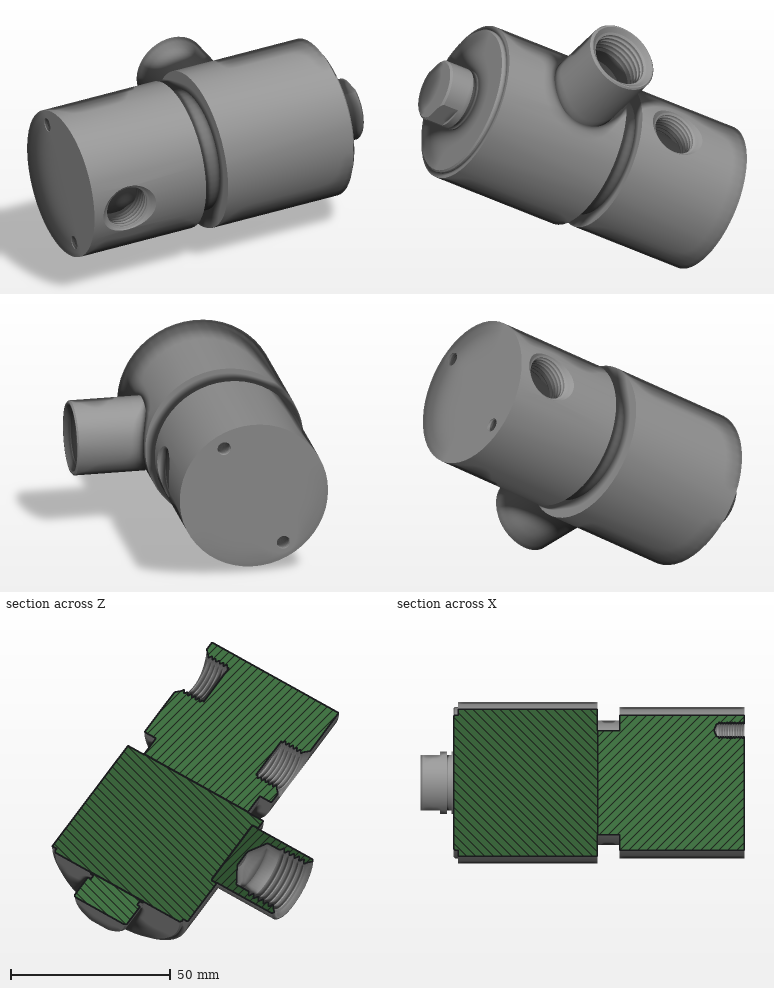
import cadquery as cq
import math

TOTAL_LENGTH = 101.7
DRILL_HALF_ANGLE = math.radians(59)
THREAD_HALF_ANGLE = math.radians(30)

BODY_RADIUS = 23.8
BODY_LENGTH = 39.2
NECK_RADIUS = 19.5
NECK_END = 46.1
CORE_RADIUS = 14.2

LEFT_PORT_Y = 25.9
RIGHT_PORT_Y = 12.4
PORT_MOUTH_RADIUS = 9.3
PORT_ENTRY_RADIUS = 7.6
PORT_MAJOR_RADIUS = 8.0
PORT_MINOR_RADIUS = 7.0
PORT_PITCH = 1.4
PORT_THREAD_TURNS = 7
PORT_DEPTH = 13.2

SCREW_CIRCLE_RADIUS = 19.0
SCREW_ANGLES = (120, 300)
SCREW_MAJOR_RADIUS = 2.6
SCREW_MINOR_RADIUS = 2.1
SCREW_PITCH = 0.8
SCREW_THREAD_TURNS = 10
SCREW_DEPTH = 8.6

HOUSING_RADIUS = 25.4
HOUSING_END = 90.0
LID_RADIUS = BODY_RADIUS
LID_END = 91.4
LID_CHAMFER = 0.5

HUB_Y = 61.2
HUB_DIAMETER = 23.7
HUB_RADIUS = HUB_DIAMETER / 2
HUB_OUTER_END = -46.4
HUB_SPIGOT_START = -27.3
HUB_INNER_END = -23.4
HUB_CHAMFER = 0.5
HUB_MOUTH_RADIUS = 11.0
HUB_ENTRY_RADIUS = 9.7
HUB_MAJOR_RADIUS = 10.3
HUB_MINOR_RADIUS = 9.0
HUB_PITCH = 1.8
HUB_THREAD_TURNS = 5
HUB_FLOOR_RADIUS = 3.0
HUB_BORE_DEPTH = HUB_SPIGOT_START - HUB_OUTER_END

NUT_RADIUS = 9.9
NUT_FLANGE_END = 91.9
NUT_GROOVE_RADIUS = 8.7
NUT_HEAD_START = 93.4
NUT_CHAMFER = 0.6
NUT_FLATS_START = 95.7
NUT_ACROSS_FLATS = 17.5


def disc(radius, start, end):
    """A cylinder on the Y axis from Y = start to Y = end."""
    return cq.Workplane("XZ", origin=(0, start, 0)).circle(radius).extrude(start - end)


def hub_cylinder(start, end):
    """A cylinder of the hub's radius on the hub axis from X = start to X = end."""
    return cq.Workplane("YZ", origin=(start, HUB_Y, 0)).circle(HUB_RADIUS).extrude(end - start)


def drill_point_length(start_radius, end_radius):
    """Axial length of a drill-point cone that narrows from one radius to another."""
    return (start_radius - end_radius) / math.tan(DRILL_HALF_ANGLE)


def threaded_hole(mouth_radius, entry_radius, major_radius, minor_radius, pitch, turns, depth, floor_radius):
    """A cutter along +Z from Z = 0.

    A 45 degree countersink runs from the mouth to the entry radius, followed by ring-shaped 60 degree
    V threads, a plain bore up to Z = depth and a drill-point cone that stops at the floor radius.
    """
    flank_length = (major_radius - minor_radius) * math.tan(THREAD_HALF_ANGLE)
    crest_length = pitch - 2 * flank_length
    countersink_end = mouth_radius - entry_radius
    thread_start = countersink_end + (entry_radius - minor_radius) * math.tan(THREAD_HALF_ANGLE)
    points = [(0, 0), (mouth_radius, 0)]
    if mouth_radius > minor_radius:
        points.append((entry_radius, countersink_end))
        points.append((minor_radius, thread_start))
    for turn in range(turns):
        groove_start = thread_start + turn * pitch + crest_length
        points.append((minor_radius, groove_start))
        points.append((major_radius, groove_start + flank_length))
        points.append((minor_radius, groove_start + 2 * flank_length))
    points.append((minor_radius, depth))
    floor = depth + drill_point_length(minor_radius, floor_radius)
    if 0 < floor_radius < minor_radius:
        points.append((floor_radius, floor))
    points.append((0, floor))
    return cq.Workplane("XZ").polyline(points).close().revolve(360, (0, 0, 0), (0, 1, 0))


def side_port(y, side):
    """Cutter for a port on the -X (side = -1) or +X (side = 1) flank; it stops at the round core."""
    cutter = threaded_hole(
        PORT_MOUTH_RADIUS, PORT_ENTRY_RADIUS, PORT_MAJOR_RADIUS, PORT_MINOR_RADIUS,
        PORT_PITCH, PORT_THREAD_TURNS, PORT_DEPTH, PORT_MINOR_RADIUS,
    )
    cutter = cutter.rotate((0, 0, 0), (0, 1, 0), -side * 90).translate((side * BODY_RADIUS, y, 0))
    return cutter.cut(disc(CORE_RADIUS, 0, BODY_LENGTH))


def mounting_hole(angle):
    """Cutter for a mounting hole in the front face, running along +Y to a pointed end."""
    cutter = threaded_hole(
        SCREW_MINOR_RADIUS, SCREW_MINOR_RADIUS, SCREW_MAJOR_RADIUS, SCREW_MINOR_RADIUS,
        SCREW_PITCH, SCREW_THREAD_TURNS, SCREW_DEPTH, 0,
    )
    x = SCREW_CIRCLE_RADIUS * math.cos(math.radians(angle))
    z = SCREW_CIRCLE_RADIUS * math.sin(math.radians(angle))
    return cutter.rotate((0, 0, 0), (1, 0, 0), -90).translate((x, 0, z))


def make_valve_body():
    body = disc(BODY_RADIUS, 0, BODY_LENGTH).union(disc(NECK_RADIUS, BODY_LENGTH, NECK_END))
    body = body.cut(side_port(LEFT_PORT_Y, -1))
    body = body.cut(side_port(RIGHT_PORT_Y, 1))
    for angle in SCREW_ANGLES:
        body = body.cut(mounting_hole(angle))
    return body


def make_housing():
    lid = disc(LID_RADIUS, HOUSING_END, LID_END).faces(">Y").chamfer(LID_CHAMFER)
    hub_pocket = hub_cylinder(HUB_SPIGOT_START, HUB_INNER_END)
    return disc(HOUSING_RADIUS, NECK_END, HOUSING_END).union(lid).cut(hub_pocket)


def make_conduit_hub():
    sleeve = hub_cylinder(HUB_OUTER_END, HUB_SPIGOT_START).faces("<X").chamfer(HUB_CHAMFER)
    bore = threaded_hole(
        HUB_MOUTH_RADIUS, HUB_ENTRY_RADIUS, HUB_MAJOR_RADIUS, HUB_MINOR_RADIUS,
        HUB_PITCH, HUB_THREAD_TURNS,
        HUB_BORE_DEPTH - drill_point_length(HUB_MINOR_RADIUS, HUB_FLOOR_RADIUS), HUB_FLOOR_RADIUS,
    )
    sleeve = sleeve.cut(bore.rotate((0, 0, 0), (0, 1, 0), 90).translate((HUB_OUTER_END, HUB_Y, 0)))
    spigot = hub_cylinder(HUB_SPIGOT_START, HUB_INNER_END)
    return sleeve.union(spigot, clean=False)


def make_nut():
    flange = disc(NUT_RADIUS, LID_END, NUT_FLANGE_END)
    groove = disc(NUT_GROOVE_RADIUS, NUT_FLANGE_END, NUT_HEAD_START)
    head = disc(NUT_RADIUS, NUT_HEAD_START, TOTAL_LENGTH).faces(">Y").chamfer(NUT_CHAMFER)
    flats_length = TOTAL_LENGTH - NUT_FLATS_START
    between_flats = cq.Workplane("XY").box(2 * NUT_RADIUS, flats_length, NUT_ACROSS_FLATS)
    between_flats = between_flats.translate((0, NUT_FLATS_START + flats_length / 2, 0))
    round_part = disc(NUT_RADIUS, NUT_HEAD_START, NUT_FLATS_START)
    head = head.intersect(between_flats.union(round_part))
    return flange.union(groove).union(head)


valve_body = make_valve_body()
housing = make_housing()
conduit_hub = make_conduit_hub()
nut = make_nut()

result = cq.Compound.makeCompound([valve_body.val(), housing.val(), conduit_hub.val(), nut.val()])